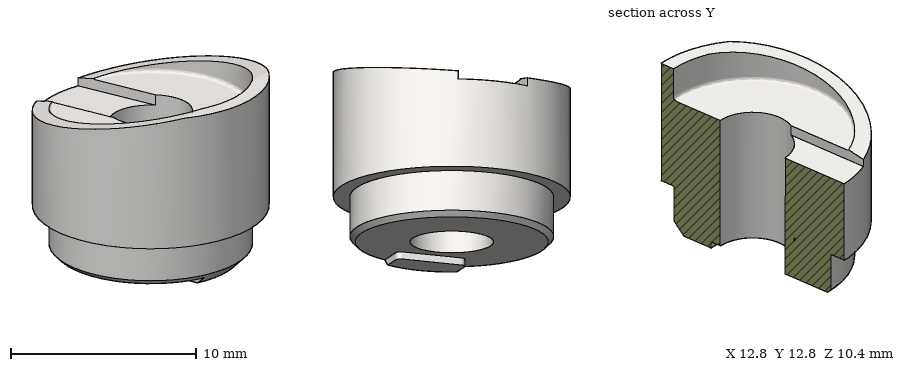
import cadquery as cq
import math

total_height = 10.4
base_height = 0.4
shoulder_height = 2.9
slot_floor_height = 7.8
bore_floor_height = 8.4

body_radius = 6.4
spigot_radius = 5.5
bore_radius = 5.5
hole_radius = 2.25
key_width = 4.0

spigot_chamfer = 0.3
bore_floor_fillet = 0.2
slope_angle = 11
slope_start_x = 4.97

tab_inner_x = 2.9
tab_corner_radius = 0.3
tab_chamfer = base_height + spigot_chamfer


def cylinder(radius, bottom, top):
    return cq.Workplane("XY").workplane(offset=bottom).circle(radius).extrude(top - bottom)


def make_body():
    spigot = cylinder(spigot_radius, base_height, shoulder_height)
    spigot = spigot.faces("<Z").edges().chamfer(spigot_chamfer)
    return spigot.union(cylinder(body_radius, shoulder_height, total_height))


def make_bore():
    bore = cylinder(bore_radius, bore_floor_height, total_height)
    return bore.faces("<Z").edges().fillet(bore_floor_fillet)


def make_slope_cutter():
    """Wedge above the rim plane that falls away towards -X."""
    low_x = -body_radius
    drop = (slope_start_x - low_x) * math.tan(math.radians(slope_angle))
    return (
        cq.Workplane("XZ")
        .moveTo(slope_start_x, total_height)
        .lineTo(low_x, total_height - drop)
        .lineTo(low_x, total_height)
        .close()
        .extrude(body_radius, both=True)
    )


def make_slot():
    """Slot from the central hole out through the low side of the rim."""
    return cq.Workplane("XY").box(
        body_radius, key_width, total_height - slot_floor_height, centered=(False, True, False)
    ).translate((-body_radius, 0, slot_floor_height))


def make_tab():
    """Tab with rounded inner corners, trimmed by a cone at its outer end."""
    bar = cq.Workplane("XY").box(
        spigot_radius - tab_inner_x, key_width, shoulder_height, centered=(False, True, False)
    ).translate((tab_inner_x, 0, 0))
    bar = bar.edges("|Z and <X").fillet(tab_corner_radius)
    envelope = cylinder(spigot_radius, 0, shoulder_height).faces("<Z").edges().chamfer(tab_chamfer)
    return bar.intersect(envelope)


result = (
    make_body()
    .union(make_tab())
    .cut(make_bore())
    .cut(make_slope_cutter())
    .cut(make_slot())
    .cut(cylinder(hole_radius, 0, total_height))
)